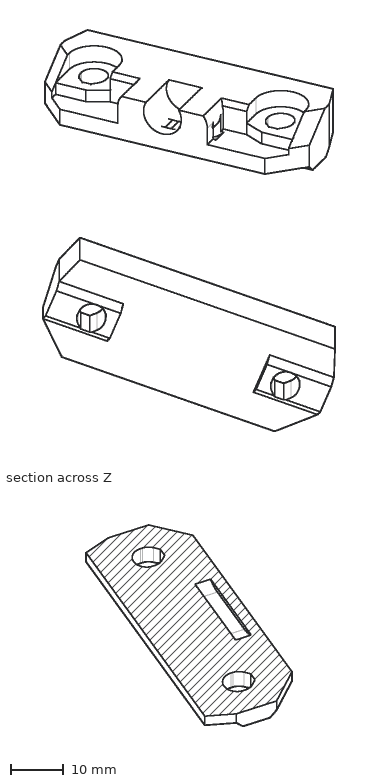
import cadquery as cq
import math

LENGTH = 56.0
DEPTH = 20.5
TOTAL_HEIGHT = 10.8
FOOT_HEIGHT = 1.4
BODY_HEIGHT = TOTAL_HEIGHT - FOOT_HEIGHT
HALF_LENGTH = LENGTH / 2

FRONT_CORNER = 6.3
BACK_CORNER_X = 2.0
BACK_CORNER_Y = 5.7
END_BACK_Y = DEPTH - BACK_CORNER_Y
BEVEL = 4.7

FOOT_LENGTH = 13.1

SCREW_X = 19.75
SCREW_Y = 10.7
SCREW_RADIUS = 2.7
SCREW_STRETCH = 0.4
SCREW_FLAT = 3.3

HEAD_RADIUS = 5.3
HEAD_DEPTH = 3.5
SEAT_FRONT_Y = 4.9
SEAT_CORNER_X = 18.6
RECESS_OUTER_X = SCREW_X + HEAD_RADIUS
RECESS_INNER_X = SCREW_X - HEAD_RADIUS

POCKET_DEPTH = 6.0
BORE_RADIUS = 4.0
BORE_LENGTH = 9.8
BORE_AXIS_Z = BORE_RADIUS - POCKET_DEPTH

POCKET_BACK_Y = 6.85
POCKET_EDGE_CHAMFER = 1.0

BLOCK_HALF_WIDTH = 9.5
BLOCK_RADIUS = 3.6
BREAKTHROUGH = 0.05
ROUNDING_X = BLOCK_HALF_WIDTH - BLOCK_RADIUS
ROUNDING_Z = BLOCK_RADIUS - POCKET_DEPTH + BREAKTHROUGH
TIE_THICKNESS = 2.0
TIE_FRONT_Y = 2.5
TIE_WIDTH = 3.2


def both_sides(shape):
    """Join a shape with its mirror image across X = 0."""
    return shape.union(shape.mirror("YZ"))


def prism_down(points, depth):
    """Extrude a plan outline from the top face down to a depth."""
    return cq.Workplane("XY").polyline(points).close().extrude(-depth)


def prism_along_x(points, start_x, length):
    """Extrude a YZ outline along X."""
    return cq.Workplane("YZ", origin=(start_x, 0, 0)).polyline(points).close().extrude(length)


def make_body():
    half_outline = [
        (0, 0),
        (HALF_LENGTH - FRONT_CORNER, 0),
        (HALF_LENGTH, FRONT_CORNER),
        (HALF_LENGTH, END_BACK_Y),
        (HALF_LENGTH - BACK_CORNER_X, DEPTH),
        (0, DEPTH),
    ]
    corner_edge_middle = (HALF_LENGTH - FRONT_CORNER / 2, FRONT_CORNER / 2, 0)
    half = prism_down(half_outline, BODY_HEIGHT)
    half = half.edges(cq.NearestToPointSelector(corner_edge_middle)).chamfer(BEVEL)
    return both_sides(half)


def make_feet():
    """Rails with 45 degree flanks, as wide as the straight part of each end."""
    profile = [
        (FRONT_CORNER, -BODY_HEIGHT),
        (END_BACK_Y, -BODY_HEIGHT),
        (END_BACK_Y - FOOT_HEIGHT, -TOTAL_HEIGHT),
        (FRONT_CORNER + FOOT_HEIGHT, -TOTAL_HEIGHT),
    ]
    return both_sides(prism_along_x(profile, HALF_LENGTH - FOOT_LENGTH, FOOT_LENGTH))


def make_screw_holes():
    tangent = SCREW_RADIUS * math.sqrt(0.5)
    teardrop_tip = SCREW_STRETCH + SCREW_RADIUS * math.sqrt(2)
    flat_half_width = teardrop_tip - SCREW_FLAT
    hole = (
        cq.Workplane("XY", origin=(SCREW_X, SCREW_Y, 0))
        .moveTo(SCREW_RADIUS, 0)
        .threePointArc((0, SCREW_RADIUS), (-SCREW_RADIUS, 0))
        .lineTo(-SCREW_RADIUS, -SCREW_STRETCH)
        .radiusArc((-tangent, -SCREW_STRETCH - tangent), -SCREW_RADIUS)
        .lineTo(-flat_half_width, -SCREW_FLAT)
        .lineTo(flat_half_width, -SCREW_FLAT)
        .lineTo(tangent, -SCREW_STRETCH - tangent)
        .radiusArc((SCREW_RADIUS, -SCREW_STRETCH), -SCREW_RADIUS)
        .close()
        .extrude(-TOTAL_HEIGHT)
    )
    return both_sides(hole)


def make_head_recesses():
    """Round-backed recesses that run out through the front."""
    recess = (
        cq.Workplane("XY", origin=(SCREW_X, 0, 0))
        .moveTo(HEAD_RADIUS, 0)
        .lineTo(HEAD_RADIUS, SCREW_Y)
        .threePointArc((0, SCREW_Y + HEAD_RADIUS), (-HEAD_RADIUS, SCREW_Y))
        .lineTo(-HEAD_RADIUS, 0)
        .close()
        .extrude(-HEAD_DEPTH)
    )
    return both_sides(recess)


def block_slab(growth, front_y, length):
    """Round-sided slab following the cable block's rounding, enlarged all round by growth."""
    radius = BLOCK_RADIUS + growth
    plane = cq.Workplane("XZ", origin=(0, front_y + length, ROUNDING_Z))
    return plane.slot2D(2 * (ROUNDING_X + radius), 2 * radius).extrude(length)


def make_cable_block():
    """Central block left standing between the pockets, with rounded upper sides."""
    upright_height = POCKET_DEPTH + ROUNDING_Z
    upright = cq.Workplane("XY", origin=(0, 0, -POCKET_DEPTH))
    upright = upright.rect(2 * BLOCK_HALF_WIDTH, 2 * DEPTH).extrude(upright_height)
    return upright.union(block_slab(0, 0, DEPTH))


def make_pockets():
    """Floors in front of the screw seats and beside the cable block, with chamfered back walls."""
    under_seat = [
        (RECESS_INNER_X, 0),
        (RECESS_OUTER_X, 0),
        (RECESS_OUTER_X, SEAT_FRONT_Y),
        (SEAT_CORNER_X, SEAT_FRONT_Y),
        (RECESS_INNER_X, POCKET_BACK_Y),
    ]
    beside_block = [
        (0, 0),
        (POCKET_BACK_Y + POCKET_EDGE_CHAMFER, 0),
        (POCKET_BACK_Y, -POCKET_EDGE_CHAMFER),
        (POCKET_BACK_Y, -POCKET_DEPTH),
        (0, -POCKET_DEPTH),
    ]
    inner = prism_along_x(beside_block, ROUNDING_X, RECESS_INNER_X - ROUNDING_X)
    pocket = prism_down(under_seat, POCKET_DEPTH).union(inner.cut(make_cable_block()))
    return both_sides(pocket)


def make_tie_tunnel():
    """U-shaped tunnel that runs under the bore and comes out at both sides of the block."""
    outer = block_slab(TIE_THICKNESS, TIE_FRONT_Y, TIE_WIDTH)
    inner = block_slab(0, TIE_FRONT_Y, TIE_WIDTH)
    lower_half = cq.Workplane("XY", origin=(0, 0, ROUNDING_Z)).rect(LENGTH, 2 * DEPTH).extrude(-BODY_HEIGHT)
    return outer.cut(inner).intersect(lower_half)


def make_bore():
    plane = cq.Workplane("XZ", origin=(0, BORE_LENGTH, BORE_AXIS_Z))
    return plane.circle(BORE_RADIUS).extrude(BORE_LENGTH)


result = (
    make_body()
    .union(make_feet())
    .cut(make_screw_holes())
    .cut(make_head_recesses())
    .cut(make_pockets())
    .cut(make_tie_tunnel())
    .cut(make_bore())
)